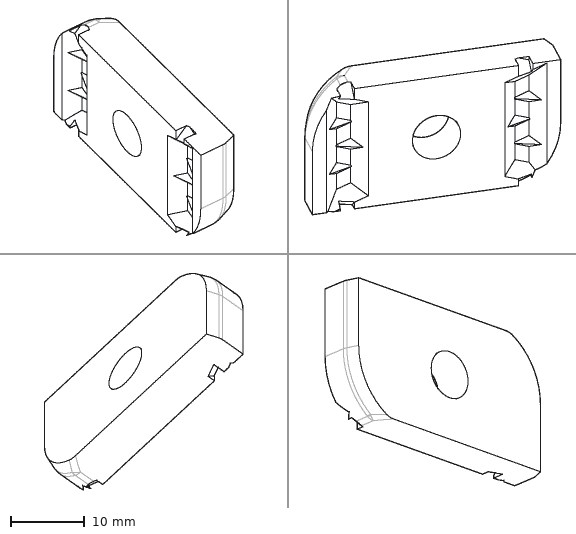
import cadquery as cq
import math

length = 35.0
thickness = 6.0
height = 19.0
half_length = length / 2
half_height = height / 2

swing_radius = 10.65
swing_center_z = 0.5
corner_blend = 1.82

rim_angle = math.radians(20)
rim_depth = 2.0
rim_width = rim_depth * math.tan(rim_angle)
rim_blend = 1.75

bore_diameter = 6.8

pick_margin = 0.05

groove_center_x = 12.55
groove_depth = 1.95
groove_floor = 2.0
groove_width = groove_floor + 2 * groove_depth

tooth_slope = math.tan(math.radians(20))
tooth_pitch = 3.55
tooth_center_z = -0.3
tooth_low_rise = 0.15
end_tooth_offset = 8.1
end_tooth_low_rise = 1.2


def swing_end_x(radius):
    """Distance from the middle at which a swing arc of this radius meets the long side."""
    drop = half_height - swing_center_z
    return half_length - swing_radius + math.sqrt(radius**2 - drop**2)


def make_body():
    """Plate with two swept corners and a sloped back rim."""
    arc_top = swing_center_z + swing_radius
    arc_end_x = half_length - swing_radius
    diagonal = swing_radius * math.sqrt(0.5)
    arc_mid_x = arc_end_x + diagonal
    arc_mid_z = swing_center_z + diagonal
    rim = (
        cq.Workplane("XZ")
        .moveTo(-half_length, -arc_top)
        .lineTo(-half_length, swing_center_z)
        .threePointArc((-arc_mid_x, arc_mid_z), (-arc_end_x, arc_top))
        .lineTo(half_length, arc_top)
        .lineTo(half_length, -swing_center_z)
        .threePointArc((arc_mid_x, -arc_mid_z), (arc_end_x, -arc_top))
        .close()
        .extrude(-thickness)
    )
    rim = rim.faces(">Y").edges().chamfer(rim_depth, rim_width)
    slab = cq.Workplane("XY").box(length, 4 * thickness, height)
    body = rim.intersect(slab)
    corner_x = swing_end_x(swing_radius)
    corner_inner_x = swing_end_x(swing_radius - rim_width)
    for side in (1, -1):
        side_z = side * half_height
        corner_edges = cq.selectors.BoxSelector(
            (-side * (corner_x + pick_margin), pick_margin, side_z - pick_margin),
            (-side * (corner_inner_x - pick_margin), thickness - pick_margin, side_z + pick_margin),
        )
        body = body.edges(corner_edges).fillet(corner_blend)
    ridge_y = thickness - rim_depth
    ridge_edges = cq.selectors.BoxSelector(
        (-length, ridge_y - pick_margin, -length),
        (length, ridge_y + pick_margin, length),
        boundingbox=True,
    )
    body = body.edges(ridge_edges).fillet(rim_blend)
    return body


def tooth(ridge_z, low_rise, rise_side):
    """Ridge across the left groove, low_rise high at one floor edge, rising towards rise_side in X."""
    base_y = 2 * groove_depth
    half_width = groove_width / 2

    def section(across):
        rise = low_rise + tooth_slope * (across + groove_floor / 2)
        ridge_y = groove_depth - rise
        spread = base_y - ridge_y
        x = -groove_center_x + rise_side * across
        corners = [
            (x, ridge_y, ridge_z),
            (x, base_y, ridge_z + spread),
            (x, base_y, ridge_z - spread),
        ]
        return cq.Wire.makePolygon([cq.Vector(*c) for c in corners], close=True)

    wedge = cq.Solid.makeLoft([section(-half_width), section(half_width)], True)
    return cq.Workplane(obj=wedge)


def left_groove():
    """Cutter for the left groove: a toothed trough, and a square-sided notch at each end of its floor."""
    half_floor = groove_floor / 2
    half_width = groove_width / 2
    left_notch_edge = -groove_center_x - half_floor
    trough = (
        cq.Workplane("XY", origin=(-groove_center_x, 0, -height))
        .polyline(
            [(-half_width, 0), (-half_floor, groove_depth), (half_floor, groove_depth), (half_width, 0)]
        )
        .close()
        .extrude(2 * height)
    )
    for row, rise_side in ((-1, -1), (0, 1), (1, -1)):
        trough = trough.cut(tooth(tooth_center_z + row * tooth_pitch, tooth_low_rise, rise_side))

    notches = []
    for end in (1, -1):
        ridge_z = tooth_center_z + end * end_tooth_offset
        trough = trough.cut(tooth(ridge_z + end * height, end_tooth_low_rise + height, 1))
        notch = (
            cq.Workplane("XY", origin=(left_notch_edge, 0, ridge_z))
            .rect(groove_floor, groove_depth, centered=False)
            .extrude(end * height)
            .cut(tooth(ridge_z, end_tooth_low_rise, 1))
        )
        notches.append(notch)
    for notch in notches:
        trough = trough.union(notch)
    return trough


bore = cq.Workplane("XZ").circle(bore_diameter / 2).extrude(-thickness)
groove = left_groove()
result = make_body().cut(bore).cut(groove).cut(groove.mirror("YZ"))